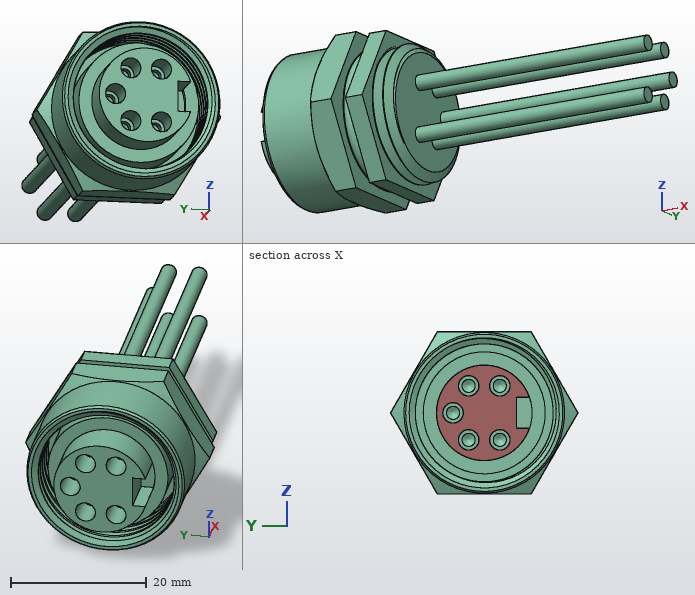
import cadquery as cq
import math

OVERALL_LENGTH = 64.9

INSERT_RADIUS = 7.1
KEYWAY_FLOOR = 4.8
KEYWAY_WIDTH = 4.55
KEYWAY_DEPTH = 6.5
CONTACT_CIRCLE_RADIUS = 4.6
CONTACT_STEP_DEGREES = 60
CONTACT_ANGLES = [CONTACT_STEP_DEGREES * step for step in range(-2, 3)]
SOCKET_RADIUS = 1.5
SOCKET_DEPTH = 5.2
PILOT_RADIUS = 1.0
PILOT_DEPTH = 1.3
DRILL_HALF_ANGLE = 59.0

CUP_FRONT = 3.4
CUP_RADIUS = 11.9
CUP_CHAMFER_LENGTH = 0.45
CUP_CHAMFER_HEIGHT = 0.25
BOSS_RADIUS = 9.0
BOSS_TOP = 5.6
CUP_THREAD_MINOR_RADIUS = 10.2
CUP_THREAD_MAJOR_RADIUS = 11.1
CUP_THREAD_PITCH = 1.55
CUP_THREAD_ANGLE = 60

FLANGE_FRONT = 12.0
FLANGE_BACK = 16.75
MOAT_FLOOR = FLANGE_FRONT
FLANGE_FLATS = 24.0
FLANGE_CHAMFER_ANGLE = 30.0

RING_CENTER = 17.65
RING_SECTION_RADIUS = 1.0
RING_OUTER_RADIUS = 10.9

SHANK_END = 24.9
SHANK_RADIUS = 10.5
SHANK_THREAD_PITCH = 1.8
SHANK_THREAD_ANGLE = 120
SHANK_THREAD_CREST = 0.1
SHANK_END_RADIUS = 8.95
SHANK_CHAMFER_ANGLE = 60.0

NUT_FRONT = 18.9
NUT_BACK = 21.8
NUT_FLATS = 23.0

WIRE_RADIUS = 1.2
THREAD_FLANK_ANGLE = 30.0
GROOVE_OVERSHOOT = 0.05


def tan(degrees):
    return math.tan(math.radians(degrees))


def cylinder(radius, start, end):
    return cq.Workplane("YZ", origin=(start, 0, 0)).circle(radius).extrude(end - start)


def turned(points):
    """Solid of revolution about X from (x, radius) points."""
    return cq.Workplane("XY").polyline(points).close().revolve(360, (0, 0, 0), (1, 0, 0))


def hexagon(flats, start, end):
    """Hexagonal prism along X with two flats facing +Z and -Z."""
    across_corners = flats / math.cos(math.radians(30))
    return cq.Workplane("YZ", origin=(start, 0, 0)).polygon(6, across_corners).extrude(end - start)


def contact_points():
    return [
        (
            CONTACT_CIRCLE_RADIUS * math.cos(math.radians(angle)),
            CONTACT_CIRCLE_RADIUS * math.sin(math.radians(angle)),
        )
        for angle in CONTACT_ANGLES
    ]


def thread_groove(surface_radius, root_radius, half_width, pitch, start, end, start_angle):
    """Right-handed V groove along X from surface_radius to root_radius.

    start_angle is measured from +Y towards +Z. The V is drawn on past the surface so that it cuts cleanly.
    """
    slope = half_width / (surface_radius - root_radius)
    overshoot = math.copysign(GROOVE_OVERSHOOT, surface_radius - root_radius)
    mouth_radius = surface_radius + overshoot
    mouth_half_width = abs(slope * (mouth_radius - root_radius))
    helix = cq.Wire.makeHelix(pitch, end - start, root_radius)
    section = (
        cq.Workplane("XZ")
        .moveTo(mouth_radius, -mouth_half_width)
        .lineTo(mouth_radius, mouth_half_width)
        .lineTo(root_radius, 0)
        .close()
    )
    groove = section.sweep(cq.Workplane(obj=helix), isFrenet=True)
    groove = groove.rotate((0, 0, 0), (1, 1, 1), 120)
    return groove.rotate((0, 0, 0), (1, 0, 0), start_angle).translate((start, 0, 0))


def make_cup():
    chamfer_back = CUP_FRONT + CUP_CHAMFER_LENGTH
    thread_depth = CUP_THREAD_MAJOR_RADIUS - CUP_THREAD_MINOR_RADIUS
    mouth_depth = thread_depth * tan(THREAD_FLANK_ANGLE)
    cup = turned(
        [
            (CUP_FRONT, CUP_THREAD_MAJOR_RADIUS),
            (CUP_FRONT, CUP_RADIUS - CUP_CHAMFER_HEIGHT),
            (chamfer_back, CUP_RADIUS),
            (FLANGE_FRONT, CUP_RADIUS),
            (FLANGE_FRONT, 0),
            (BOSS_TOP, 0),
            (BOSS_TOP, BOSS_RADIUS),
            (MOAT_FLOOR, BOSS_RADIUS),
            (MOAT_FLOOR, CUP_THREAD_MINOR_RADIUS),
            (CUP_FRONT + mouth_depth, CUP_THREAD_MINOR_RADIUS),
        ]
    )
    thread = thread_groove(
        CUP_THREAD_MINOR_RADIUS,
        CUP_THREAD_MAJOR_RADIUS,
        thread_depth * tan(THREAD_FLANK_ANGLE),
        CUP_THREAD_PITCH,
        CUP_FRONT - CUP_THREAD_PITCH,
        MOAT_FLOOR - CUP_THREAD_PITCH / 2,
        CUP_THREAD_ANGLE,
    )
    return cup.cut(thread)


def make_flange():
    corner_radius = FLANGE_FLATS / 2 / math.cos(math.radians(30))
    chamfer_length = (corner_radius - CUP_RADIUS) * tan(FLANGE_CHAMFER_ANGLE)
    envelope = turned(
        [
            (FLANGE_FRONT, 0),
            (FLANGE_FRONT, CUP_RADIUS),
            (FLANGE_FRONT + chamfer_length, corner_radius),
            (FLANGE_BACK, corner_radius),
            (FLANGE_BACK, 0),
        ]
    )
    return hexagon(FLANGE_FLATS, FLANGE_FRONT, FLANGE_BACK).intersect(envelope)


def make_sealing_ring():
    section_center = (RING_CENTER, RING_OUTER_RADIUS - RING_SECTION_RADIUS)
    return (
        cq.Workplane("XY")
        .center(*section_center)
        .circle(RING_SECTION_RADIUS)
        .revolve(360, (-RING_CENTER, -section_center[1], 0), (0.65 - RING_CENTER, -section_center[1], 0))
    )


def make_shank():
    """Plain collar under the sealing ring, then a thread from the nut's front to a chamfered end."""
    chamfer_length = (SHANK_RADIUS - SHANK_END_RADIUS) / tan(SHANK_CHAMFER_ANGLE)
    threaded_end = turned(
        [
            (NUT_FRONT, 0),
            (NUT_FRONT, SHANK_RADIUS),
            (SHANK_END - chamfer_length, SHANK_RADIUS),
            (SHANK_END, SHANK_END_RADIUS),
            (SHANK_END, 0),
        ]
    )
    half_width = (SHANK_THREAD_PITCH - SHANK_THREAD_CREST) / 2
    thread = thread_groove(
        SHANK_RADIUS,
        SHANK_RADIUS - half_width / tan(THREAD_FLANK_ANGLE),
        half_width,
        SHANK_THREAD_PITCH,
        NUT_FRONT - SHANK_THREAD_PITCH,
        SHANK_END + SHANK_THREAD_PITCH,
        SHANK_THREAD_ANGLE,
    )
    collar = cylinder(SHANK_RADIUS, FLANGE_BACK, NUT_FRONT)
    return collar.union(threaded_end.cut(thread))


def cut_keyway(body):
    keyway = cq.Workplane("XY").box(
        KEYWAY_DEPTH, INSERT_RADIUS - KEYWAY_FLOOR, KEYWAY_WIDTH, centered=(False, False, True)
    )
    keyway = keyway.translate((0, -INSERT_RADIUS, 0)).intersect(cylinder(INSERT_RADIUS, 0, KEYWAY_DEPTH))
    return body.cut(keyway)


def cut_sockets(body):
    """Stepped contact sockets, each ending in a drill point."""
    pilot_end = SOCKET_DEPTH + PILOT_DEPTH
    socket = turned(
        [
            (0, 0),
            (0, SOCKET_RADIUS),
            (SOCKET_DEPTH, SOCKET_RADIUS),
            (SOCKET_DEPTH, PILOT_RADIUS),
            (pilot_end, PILOT_RADIUS),
            (pilot_end + PILOT_RADIUS / tan(DRILL_HALF_ANGLE), 0),
        ]
    )
    for y, z in contact_points():
        body = body.cut(socket.translate((0, y, z)))
    return body


def add_wires(body):
    for y, z in contact_points():
        body = body.union(cylinder(WIRE_RADIUS, SHANK_END, OVERALL_LENGTH).translate((0, y, z)))
    return body


def make_connector():
    body = make_shank().union(make_sealing_ring()).union(make_flange()).union(make_cup())
    body = body.union(cylinder(INSERT_RADIUS, 0, FLANGE_FRONT))
    return add_wires(cut_sockets(cut_keyway(body)))


def make_nut(connector):
    """Plain hexagonal nut whose bore matches the shank thread."""
    return hexagon(NUT_FLATS, NUT_FRONT, NUT_BACK).cut(connector)


connector = make_connector()
nut = make_nut(connector)
result = cq.Compound.makeCompound([connector.val(), nut.val()])